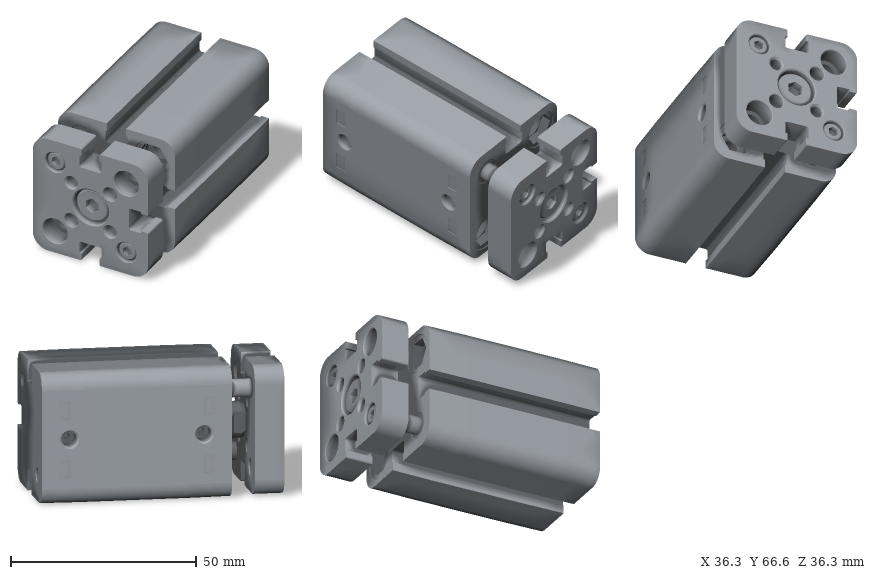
import cadquery as cq
import math


length = 66.6
plate_front = -length / 2
plate_thickness = 8.1
plate_back = plate_front + plate_thickness
rod_gap = 6.25
body_front = plate_back + rod_gap
body_back = length / 2
cap_length = 11.8

body_width = 36.3
body_corner_radius = 4.5
cap_draft = 0.6
plate_width = 35.6
plate_corner_radius = 4.65

slot_floor = 11.85
slot_lip_floor = 15.6
slot_width = 6.85
body_slot_opening = 5.85
plate_slot_opening = 5.45
slot_corner_radius = 0.65
plate_lip_radius = 0.45

corner_offset = 11.0
inner_offset = 6.0
guide_corners = [(-corner_offset, corner_offset), (corner_offset, -corner_offset)]
collar_corners = [(corner_offset, corner_offset), (-corner_offset, -corner_offset)]
thread_positions = [(-inner_offset, inner_offset), (inner_offset, -inner_offset)]
dowel_positions = [(inner_offset, inner_offset), (-inner_offset, -inner_offset)]

rod_diameter = 10.0
rod_flats = 8.0
rod_ramp_start = 2.1
rod_end_chamfer_length = 1.05
rod_end_chamfer_depth = 0.4
guide_diameter = 5.0
guide_seat_diameter = 7.5
guide_seat_floor_diameter = 7.0
guide_seat_depth = 0.2

mount_bore = 7.5
mount_mouth = 8.0
mount_bore_depth = 5.65
mount_clearance = 5.0
dowel_diameter = 4.1
dowel_mouth = 4.5
thread_diameter = 3.25
thread_mouth = 4.3

rod_screw = dict(bore=10.9, mouth=11.6, bore_depth=6.0, head=10.0, head_top=9.05, sunk=0.9,
                 socket=4.0, socket_depth=2.3)
guide_screw = dict(bore=6.0, mouth=6.5, bore_depth=4.0, head=5.5, head_top=4.65, sunk=0.6,
                   socket=2.5, socket_depth=1.45)
cone_angle = 118.0

collar_diameter = 10.9
collar_mouth = 11.1
collar_depth = 0.3
collar_socket = 8.0
collar_socket_depth = 2.65
collar_counterbore = 7.5
collar_counterbore_depth = 1.65
collar_bore_mouth = 5.0
collar_bore = 4.1

port_inset = 7.65
port_mouth = 5.25
port_diameter = 4.1
port_depth = 5.3
port_throat = 1.7
port_throat_depth = 8.0
label_inset = 6.3
label_length = 3.0
label_height = 5.05
label_offset = 8.05
label_depth = 0.2


def section(y):
    """Sketch plane across the stroke axis at station y; local Y is +Z, extrusion runs toward +Y."""
    return cq.Workplane(cq.Plane(origin=(0, y, 0), xDir=(-1, 0, 0), normal=(0, 1, 0)))


def turned(x, z, profile):
    """Solid of revolution about a line along Y through (x, z) from (radius, y) points."""
    solid = cq.Workplane("XY").polyline(profile).close().revolve(360, (0, 0, 0), (0, 1, 0))
    return solid.translate((x, 0, z))


def rod(x, z, diameter, start, end):
    """Round bar along Y, also used as a cutter."""
    return turned(x, z, [(0, start), (diameter / 2, start), (diameter / 2, end), (0, end)])


def chamfered_bore(x, z, mouth, bore, start, depth):
    """Blind bore with a 45 degree countersink at its mouth."""
    sink = (mouth - bore) / 2
    end = start + depth
    return turned(x, z, [(0, start), (mouth / 2, start), (bore / 2, start + sink), (bore / 2, end), (0, end)])


def rounded_square(y, width, radius, depth):
    return section(y).rect(width, width).extrude(depth).edges("|Y").fillet(radius)


def hex_socket(x, z, across_flats, start, depth):
    """Hexagonal socket, corners up and down, with a drilled cone at its floor."""
    radius = across_flats / math.sqrt(3)
    tip = start + depth + radius / math.tan(math.radians(cone_angle / 2))
    drill = turned(x, z, [(0, start), (radius, start), (radius, start + depth), (0, tip)])
    hexagon = section(start).polygon(6, 2 * radius).extrude(tip - start)
    hexagon = hexagon.rotate((0, 0, 0), (0, 1, 0), 90).translate((x, 0, z))
    return drill.intersect(hexagon)


def t_slots(start, end, opening):
    """T-slots along Y in the +Z, -Z and +X sides."""
    run = end - start
    lip_height = slot_lip_floor - slot_floor
    mouth_height = body_width / 2 - slot_floor
    undercut = cq.Workplane("XY").box(slot_width, run, lip_height, centered=(True, False, False))
    undercut = undercut.edges("|Y").edges("<Z").fillet(slot_corner_radius)
    mouth = cq.Workplane("XY").box(opening, run, mouth_height, centered=(True, False, False))
    slot = undercut.union(mouth).translate((0, start, slot_floor))
    slots = slot
    for turn in (90, 180):
        slots = slots.union(slot.rotate((0, 0, 0), (0, 1, 0), turn))
    return slots


def make_body():
    """Barrel between two end caps that taper slightly toward the ends."""
    barrel_front = body_front + cap_length
    barrel_back = body_back - cap_length
    barrel = rounded_square(barrel_front, body_width, body_corner_radius, barrel_back - barrel_front)
    back_half = barrel.faces(">Y").wires().toPending().workplane().extrude(cap_length, taper=cap_draft)
    front_half = back_half.mirror("XZ", (0, (body_front + body_back) / 2, 0))
    body = back_half.union(front_half)
    body = body.cut(t_slots(body_front, body_back, body_slot_opening))
    for x, z in collar_corners:
        body = body.cut(collar_screw_recess(x, z))
    for x, z in guide_corners:
        body = body.cut(guide_seat(x, z))
    for end, inward in ((body_front, 1), (body_back, -1)):
        body = body.cut(air_port(end + inward * port_inset))
        for z in (-label_offset, label_offset):
            body = body.cut(label_recess(end + inward * label_inset, z))
    return body


def collar_screw_recess(x, z):
    """Hexagonal socket, counterbore and through bore, stepped down from a countersunk rim."""
    face = body_front + collar_depth
    socket_floor = face + collar_socket_depth
    counterbore_floor = socket_floor + collar_counterbore_depth
    rim = turned(x, z, [(0, body_front), (collar_mouth / 2, body_front),
                        (collar_diameter / 2, face), (0, face)])
    corner_diameter = 2 * collar_socket / math.sqrt(3)
    hexagon = section(face).polygon(6, corner_diameter).extrude(collar_socket_depth).translate((x, 0, z))
    counterbore = rod(x, z, collar_counterbore, socket_floor, counterbore_floor)
    bore_depth = body_back - counterbore_floor
    bore = chamfered_bore(x, z, collar_bore_mouth, collar_bore, counterbore_floor, bore_depth)
    return rim.union(hexagon).union(counterbore).union(bore)


def guide_seat(x, z):
    floor = body_front + guide_seat_depth
    return turned(x, z, [(0, body_front), (guide_seat_diameter / 2, body_front),
                         (guide_seat_floor_diameter / 2, floor), (0, floor)])


def air_port(y):
    port = chamfered_bore(0, 0, port_mouth, port_diameter, 0, port_depth)
    port = port.union(rod(0, 0, port_throat, 0, port_throat_depth))
    return port.rotate((0, 0, 0), (0, 0, 1), -90).translate((-body_width / 2, y, 0))


def label_recess(y, z):
    recess = cq.Workplane("XY").box(2 * label_depth, label_length, label_height)
    return recess.translate((-body_width / 2, y, z))


def make_plate():
    """Yoke plate with rounded slot lips and its mounting, dowel and threaded holes."""
    plate = rounded_square(plate_front, plate_width, plate_corner_radius, plate_thickness)
    plate = plate.cut(t_slots(plate_front, plate_back, plate_slot_opening))
    side = plate_width / 2
    lip = plate_slot_opening / 2
    middle = (plate_front + plate_back) / 2
    lip_edges = [(-lip, side), (lip, side), (-lip, -side), (lip, -side), (side, -lip), (side, lip)]
    for x, z in lip_edges:
        plate = plate.edges(cq.NearestToPointSelector((x, middle, z))).fillet(plate_lip_radius)
    for x, z in collar_corners:
        plate = plate.cut(chamfered_bore(x, z, mount_mouth, mount_bore, plate_front, mount_bore_depth))
        plate = plate.cut(rod(x, z, mount_clearance, plate_front, plate_back))
    for x, z in dowel_positions:
        plate = plate.cut(chamfered_bore(x, z, dowel_mouth, dowel_diameter, plate_front, plate_thickness))
    for x, z in thread_positions:
        plate = plate.cut(chamfered_bore(x, z, thread_mouth, thread_diameter, plate_front, plate_thickness))
    return plate


def make_piston_rod():
    """Rod with wrench flats on the +X and -X sides that run out in 45 degree ramps."""
    radius = rod_diameter / 2
    chamfer_start = plate_back + rod_end_chamfer_length
    end_radius = radius - rod_end_chamfer_depth
    piston_rod = turned(0, 0, [(0, body_front), (radius, body_front), (radius, chamfer_start),
                               (end_radius, plate_back), (0, plate_back)])
    ramp_start = body_front - rod_ramp_start
    flat_start = ramp_start - (rod_diameter - rod_flats) / 2
    flat_cut = (cq.Workplane("XY").moveTo(radius, ramp_start).lineTo(rod_flats / 2, flat_start)
                .lineTo(rod_flats / 2, plate_back).lineTo(radius, plate_back).close()
                .extrude(radius, both=True))
    return piston_rod.cut(flat_cut).cut(flat_cut.mirror("YZ"))


def sink_screw(solid, x, z, screw):
    """Sink a socket-head screw in the plate, its head standing in a clearance bore."""
    bore = chamfered_bore(x, z, screw["mouth"], screw["bore"], plate_front, screw["bore_depth"])
    top = plate_front + screw["sunk"]
    floor = plate_front + screw["bore_depth"]
    edge = (screw["head"] - screw["head_top"]) / 2
    head = turned(x, z, [(0, top), (screw["head_top"] / 2, top), (screw["head"] / 2, top + edge),
                         (screw["head"] / 2, floor), (0, floor)])
    head = head.cut(hex_socket(x, z, screw["socket"], top, screw["socket_depth"]))
    return solid.cut(bore).union(head)


plate = sink_screw(make_plate(), 0, 0, rod_screw)
for x, z in guide_corners:
    plate = sink_screw(plate, x, z, guide_screw)

result = make_body().union(plate).union(make_piston_rod())
for x, z in guide_corners:
    result = result.union(rod(x, z, guide_diameter, plate_back, body_front + guide_seat_depth))